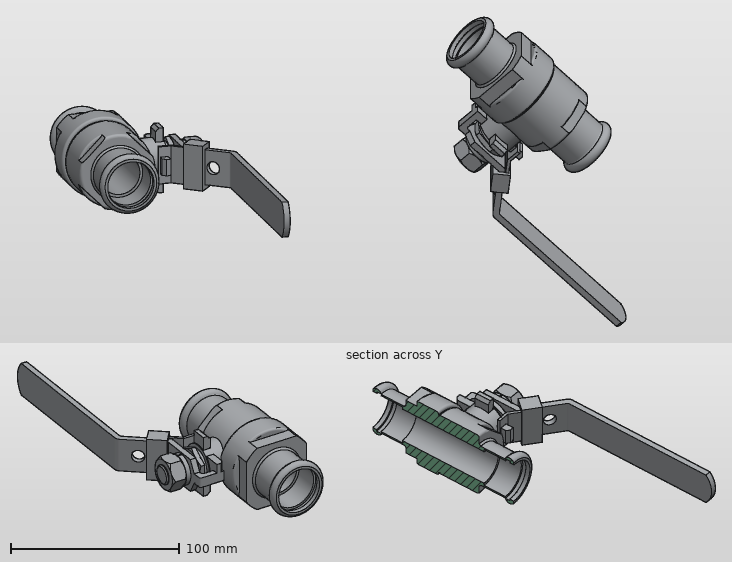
import cadquery as cq
import math


left_end = -59.2
right_end = 47.5
pipe_radius = 31.5 / 2
bead_outer_radius = 18.4
bead_section_radius = 3.5
bead_center_depth = 3.3
bead_root_radius = 1.2
bore_diameter = 25.0
entry_diameter = 28.8
socket_diameter = 28.4
socket_depth = 22.5
ring_groove_diameter = 31.3
ring_groove_start = 3.0
ring_groove_end = 6.3

flats_distance = 42.3 / 2
flange_face = -34.1
cap_radius = 50.5 / 2
cap_start = -26.0
cap_edge_radius = 1.33
joint_start = -9.4
joint_width = 0.8
joint_radius = 22.9
cap_joint_edge_radius = 1.6
body_radius = 23.5
body_end = 21.5
body_edge_radius = 1.8
body_flats_start = 15.0
body_flats_edge_radius = 1.2
pipe_collar = 1.2

neck_radius = 12.7
neck_top = 34.0
gland_radius = 20.0 / 2
gland_top = 36.4
tab_reach = 20.2
tab_width = 10.2
tab_bottom = 28.4
tab_top = 33.3
tab_chamfer = 2.0
wide_tab_upper_side = 9.2
wide_tab_lower_side = -3.3

stem_radius = 12.5 / 2
stem_top = 59.5
stem_chamfer = 0.8
gland_nut_corner_radius = 25.5 / 2
gland_nut_top = 39.6
gland_nut_turn = -34.3
gland_nut_chamfer = 0.6
handle_nut_corner_radius = 11.2
handle_nut_bottom = 48.2
handle_nut_top = 58.0
handle_nut_chamfer = 1.5
washer_radius = 20.0 / 2
washer_slit = 0.8

overall_height = 94.5
sheet = 3.9
handle_end = 145.0
handle_half_width = 21.9 / 2
handle_tip_bulge = 4.3
leg_x = -20.2
leg_half_width = 3.3
flare_start = -13.7
flare_end = -9.4
plate_top = 45.1
arm_foot_x = 15.0
grip_x = 34.7
grip_top = overall_height - cap_radius
bend_inner_radius = 1.2
leg_bend_outer_radius = 1.5
grip_bend_outer_radius = 4.0
arm_hole_diameter = 8.0
arm_hole_y = 59.2

sleeve_x = 20.6
sleeve_y = 49.0
sleeve_length = 12.5
sleeve_thickness = 10.6
sleeve_width = 28.0
strip_thickness = 1.8
strip_half_width = 23.0 / 2
strip_x = 12.9
strip_bend_y = 35.7
strip_bottom = 27.4

arm_angle = math.atan2(grip_top - plate_top, grip_x - arm_foot_x)


def press_end(end, inward, face):
    """Beaded pipe end from its open rim at `end` to a body face at `face`."""

    def point(depth, radius):
        return (end + inward * depth, radius)

    bead_center_radius = bead_outer_radius - bead_section_radius
    rim_radius = bead_center_radius + math.sqrt(bead_section_radius**2 - bead_center_depth**2)

    root_center_radius = pipe_radius + bead_root_radius
    center_distance = bead_section_radius + bead_root_radius
    root_rise = root_center_radius - bead_center_radius
    root_run = math.sqrt(center_distance**2 - root_rise**2)
    root_depth = bead_center_depth + root_run
    touch_angle = math.atan2(root_rise, root_run)
    middle_angle = (touch_angle + math.pi / 2) / 2
    bead_root_touch = point(
        bead_center_depth + bead_section_radius * math.cos(touch_angle),
        bead_center_radius + bead_section_radius * math.sin(touch_angle),
    )
    root_middle = point(
        root_depth - bead_root_radius * math.cos(middle_angle),
        root_center_radius - bead_root_radius * math.sin(middle_angle),
    )

    pipe_length = abs(face - end)
    profile = (
        cq.Workplane("XY")
        .moveTo(*point(0, 0))
        .lineTo(*point(0, rim_radius))
        .threePointArc(point(bead_center_depth, bead_outer_radius), bead_root_touch)
        .threePointArc(root_middle, point(root_depth, pipe_radius))
        .lineTo(*point(pipe_length - pipe_collar, pipe_radius))
        .lineTo(*point(pipe_length, pipe_radius + pipe_collar))
        .lineTo(*point(pipe_length, 0))
        .close()
    )
    return profile.revolve(360, (0, 0, 0), (1, 0, 0))


def x_cylinder(start, end, radius):
    return cq.Workplane("YZ").workplane(offset=start).circle(radius).extrude(end - start)


def y_disc(bottom, top, radius):
    return cq.Workplane("XZ", origin=(0, bottom, 0)).circle(radius).extrude(bottom - top)


def flats(start, end, turn):
    """Square bar along X whose four sides are the wrench flats."""
    return (
        cq.Workplane("YZ", origin=(start, 0, 0))
        .rect(2 * flats_distance, 2 * flats_distance)
        .extrude(end - start)
        .rotate((0, 0, 0), (1, 0, 0), turn)
    )


def body():
    flange = x_cylinder(flange_face, joint_start, cap_radius).intersect(
        flats(flange_face, cap_start + cap_edge_radius, 0)
    )
    cap = (
        x_cylinder(cap_start, joint_start, cap_radius)
        .faces("<X").edges().fillet(cap_edge_radius)
        .faces(">X").edges().fillet(cap_joint_edge_radius)
    )
    joint_end = joint_start + joint_width
    joint = x_cylinder(joint_start, joint_end, joint_radius)
    main = (
        x_cylinder(joint_end, body_flats_start, body_radius)
        .faces(">X").edges().fillet(body_flats_edge_radius)
    )
    main_flats = (
        x_cylinder(joint_end, body_end, body_radius)
        .faces(">X").edges().fillet(body_edge_radius)
        .intersect(flats(body_flats_start - body_flats_edge_radius, body_end, 45))
    )
    return flange.union(cap).union(joint).union(main).union(main_flats)


def stop_tab(lower_side, upper_side, turn):
    """Tab reaching out along +X from the neck, then turned about the stem axis."""
    return (
        cq.Workplane("XY")
        .moveTo(0, tab_bottom)
        .lineTo(tab_reach - tab_chamfer, tab_bottom)
        .lineTo(tab_reach, tab_bottom + tab_chamfer)
        .lineTo(tab_reach, tab_top)
        .lineTo(0, tab_top)
        .close()
        .extrude(upper_side - lower_side)
        .translate((0, 0, lower_side))
        .rotate((0, 0, 0), (0, 1, 0), turn)
    )


def neck():
    solid = y_disc(0, neck_top, neck_radius).union(y_disc(neck_top, gland_top, gland_radius))
    for turn in (-90, 0, 90):
        solid = solid.union(stop_tab(-tab_width / 2, tab_width / 2, turn))
    return solid.union(stop_tab(-wide_tab_upper_side, -wide_tab_lower_side, 180))


def hex_nut(bottom, top, corner_radius, chamfer, chamfer_both_ends, turn=0):
    height = top - bottom
    prism = (
        cq.Workplane("XZ", origin=(0, bottom, 0))
        .polygon(6, 2 * corner_radius)
        .extrude(-height)
        .rotate((0, 0, 0), (0, 1, 0), turn)
    )
    ends = "<Y or >Y" if chamfer_both_ends else ">Y"
    flat_radius = corner_radius * math.cos(math.radians(30))
    envelope = y_disc(bottom, top, corner_radius).faces(ends).edges()
    return prism.intersect(envelope.chamfer(chamfer, corner_radius - flat_radius))


def stem_and_nuts():
    stem = y_disc(0, stem_top, stem_radius).faces(">Y").edges().chamfer(stem_chamfer)
    gland_nut = hex_nut(
        gland_top, gland_nut_top, gland_nut_corner_radius, gland_nut_chamfer, False, gland_nut_turn
    )
    handle_nut = hex_nut(
        handle_nut_bottom, handle_nut_top, handle_nut_corner_radius, handle_nut_chamfer, True
    )
    slit = (
        cq.Workplane("XY")
        .box(washer_slit, handle_nut_bottom - plate_top, washer_radius - stem_radius)
        .translate((0, (handle_nut_bottom + plate_top) / 2, (washer_radius + stem_radius) / 2))
    )
    washer = y_disc(plate_top, handle_nut_bottom, washer_radius).cut(slit)
    return stem.union(gland_nut).union(washer).union(handle_nut)


def handle():
    lower_shift = sheet * math.tan(arm_angle / 2)
    inner_leg_corner = (leg_x + sheet, plate_top - sheet)
    inner_arm_corner = (arm_foot_x + lower_shift, plate_top - sheet)
    inner_grip_corner = (grip_x + lower_shift, grip_top - sheet)
    side = (
        cq.Workplane("XY")
        .moveTo(leg_x, tab_bottom)
        .lineTo(leg_x, plate_top)
        .lineTo(arm_foot_x, plate_top)
        .lineTo(grip_x, grip_top)
        .lineTo(handle_end, grip_top)
        .lineTo(handle_end, grip_top - sheet)
        .lineTo(*inner_grip_corner)
        .lineTo(*inner_arm_corner)
        .lineTo(*inner_leg_corner)
        .lineTo(leg_x + sheet, tab_bottom)
        .close()
        .extrude(handle_half_width, both=True)
    )

    def bend_at(solid, corner, radius):
        edge = cq.selectors.NearestToPointSelector((*corner, 0))
        return solid.edges("|Z").edges(edge).fillet(radius)

    side = bend_at(side, (leg_x, plate_top), leg_bend_outer_radius)
    side = bend_at(side, inner_leg_corner, bend_inner_radius)
    side = bend_at(side, (grip_x, grip_top), grip_bend_outer_radius)
    side = bend_at(side, inner_grip_corner, bend_inner_radius)

    tip_x = handle_end - handle_tip_bulge
    plan = (
        cq.Workplane("XZ")
        .moveTo(leg_x, -leg_half_width)
        .lineTo(flare_start, -leg_half_width)
        .lineTo(flare_end, -handle_half_width)
        .lineTo(tip_x, -handle_half_width)
        .threePointArc((handle_end, 0), (tip_x, handle_half_width))
        .lineTo(flare_end, handle_half_width)
        .lineTo(flare_start, leg_half_width)
        .lineTo(leg_x, leg_half_width)
        .close()
        .extrude(-(grip_top + sheet))
    )
    hole_x = arm_foot_x + (arm_hole_y - plate_top) / math.tan(arm_angle)
    hole = (
        cq.Workplane("XZ")
        .circle(arm_hole_diameter / 2)
        .extrude(2 * sheet, both=True)
        .rotate((0, 0, 0), (0, 0, 1), math.degrees(arm_angle))
        .translate((hole_x, arm_hole_y, 0))
    )
    return side.intersect(plan).cut(hole)


def lock():
    sleeve = (
        cq.Workplane("XY")
        .box(sleeve_length, sleeve_thickness, sleeve_width)
        .rotate((0, 0, 0), (0, 0, 1), math.degrees(arm_angle))
        .translate((sleeve_x, sleeve_y, 0))
    )
    rise = sleeve_y - strip_bend_y
    run = rise / math.tan(arm_angle)
    bend_shift = strip_thickness * math.tan(math.pi / 4 - arm_angle / 2)
    inner_x = strip_x + strip_thickness
    strip = (
        cq.Workplane("XY")
        .moveTo(strip_x, strip_bottom)
        .lineTo(strip_x, strip_bend_y)
        .lineTo(strip_x + run, sleeve_y)
        .lineTo(inner_x + run, sleeve_y - bend_shift)
        .lineTo(inner_x, strip_bend_y - bend_shift)
        .lineTo(inner_x, strip_bottom)
        .close()
        .extrude(strip_half_width, both=True)
    )
    return sleeve.union(strip)


def passage():
    cutter = x_cylinder(left_end, right_end, bore_diameter / 2)
    for end, inward in ((left_end, 1), (right_end, -1)):
        for start_depth, end_depth, diameter in (
            (0, ring_groove_start, entry_diameter),
            (ring_groove_start, ring_groove_end, ring_groove_diameter),
            (ring_groove_end, socket_depth, socket_diameter),
        ):
            places = sorted((end + inward * start_depth, end + inward * end_depth))
            cutter = cutter.union(x_cylinder(places[0], places[1], diameter / 2))
    return cutter


valve = body().union(press_end(left_end, 1, flange_face)).union(press_end(right_end, -1, body_end))
valve = valve.union(neck()).union(stem_and_nuts())
result = valve.union(handle()).union(lock()).cut(passage())